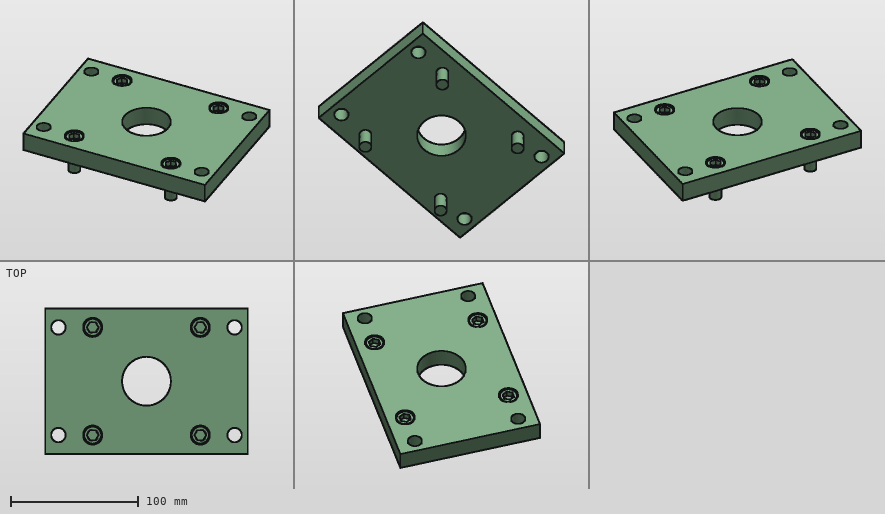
import cadquery as cq
import math

plate_length = 158.8
plate_width = 114.3
plate_thickness = 15.9
bore_diameter = 38.1
corner_hole_diameter = 11.1
corner_hole_spacing_x = 138.1

bolt_circle_diameter = 119.4
screw_spacing = bolt_circle_diameter / math.sqrt(2)
shank_diameter = 9.5
shank_length = 22.2
head_diameter = 14.3
head_height = 9.5
head_chamfer = 0.5
socket_sides = 6
socket_across_flats = 8.0
socket_depth = 4.8

head_recess = 0.8
counterbore_diameter = 15.1
counterbore_depth = head_recess + head_height

screw_points = [
    (x_side * screw_spacing / 2, y_side * screw_spacing / 2)
    for x_side in (-1, 1)
    for y_side in (-1, 1)
]


def make_plate():
    """Rectangular plate with a central bore, corner holes and counterbored screw holes."""
    plate = cq.Workplane("XY").box(
        plate_length, plate_width, plate_thickness, centered=(True, True, False)
    ).translate((0, 0, -plate_thickness))
    top = cq.Workplane("XY")
    plate = plate.cut(top.circle(bore_diameter / 2).extrude(-plate_thickness))
    corner_holes = (
        top.rect(corner_hole_spacing_x, screw_spacing, forConstruction=True)
        .vertices()
        .circle(corner_hole_diameter / 2)
        .extrude(-plate_thickness)
    )
    shank_holes = top.pushPoints(screw_points).circle(shank_diameter / 2).extrude(-plate_thickness)
    counterbores = (
        top.pushPoints(screw_points).circle(counterbore_diameter / 2).extrude(-counterbore_depth)
    )
    return plate.cut(corner_holes).cut(shank_holes).cut(counterbores)


def make_screw(x, y):
    """Cap screw pointing down, its head seated on the counterbore floor at (x, y)."""
    head_top = cq.Workplane("XY", origin=(x, y, -head_recess))
    head_seat = cq.Workplane("XY", origin=(x, y, -counterbore_depth))
    head = head_top.circle(head_diameter / 2).extrude(-head_height)
    head = head.faces(">Z").edges().chamfer(head_chamfer)
    shank = head_seat.circle(shank_diameter / 2).extrude(-shank_length)
    socket_across_corners = socket_across_flats / math.cos(math.pi / socket_sides)
    socket = head_top.polygon(socket_sides, socket_across_corners).extrude(-socket_depth)
    return head.union(shank).cut(socket)


plate = make_plate()
screws = [make_screw(x, y) for x, y in screw_points]

result = cq.Compound.makeCompound([plate.val(), *[screw.val() for screw in screws]])